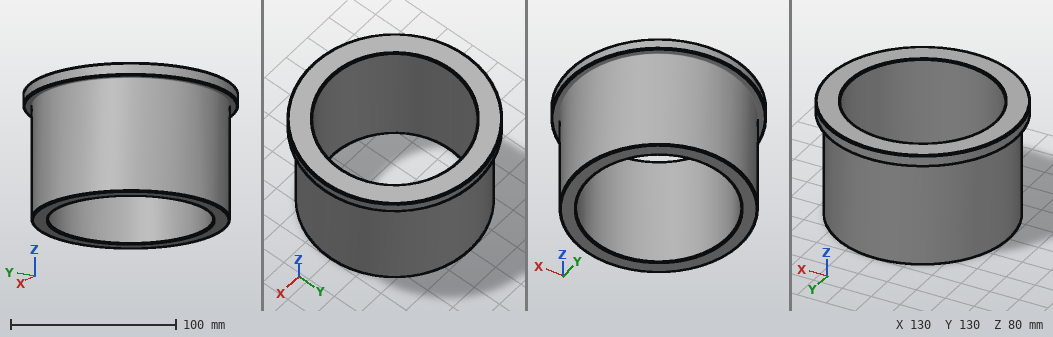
import cadquery as cq

flange_diameter = 130.0
body_diameter = 120.0
bore_diameter = 100.0
total_height = 80.0
flange_height = 8.0
edge_chamfer = 0.8
shoulder_fillet = 0.5

shoulder_height = total_height - flange_height
flange_radius = flange_diameter / 2
body_radius = body_diameter / 2
bore_radius = bore_diameter / 2

half_section = (
    cq.Workplane("XZ")
    .moveTo(bore_radius + edge_chamfer, 0)
    .lineTo(body_radius - edge_chamfer, 0)
    .lineTo(body_radius, edge_chamfer)
    .lineTo(body_radius, shoulder_height - shoulder_fillet)
    .radiusArc((body_radius + shoulder_fillet, shoulder_height), shoulder_fillet)
    .lineTo(flange_radius - edge_chamfer, shoulder_height)
    .lineTo(flange_radius, shoulder_height + edge_chamfer)
    .lineTo(flange_radius, total_height - edge_chamfer)
    .lineTo(flange_radius - edge_chamfer, total_height)
    .lineTo(bore_radius + edge_chamfer, total_height)
    .lineTo(bore_radius, total_height - edge_chamfer)
    .lineTo(bore_radius, edge_chamfer)
    .close()
)

result = half_section.revolve(360, (0, 0, 0), (0, 1, 0))